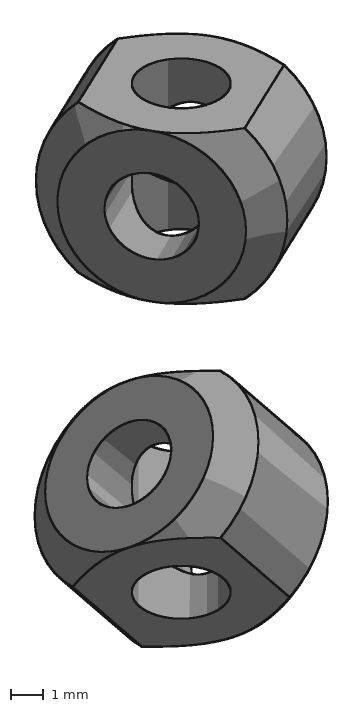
import cadquery as cq

body_diameter = 8.0
body_length = 6.0
flat_spacing = 6.0
chamfer_size = 1.0
hole_diameter = 3.0


def make_body():
    """Cylinder along Y, chamfered at both ends and cut by two flats."""
    cylinder = (
        cq.Workplane("XZ")
        .circle(body_diameter / 2)
        .extrude(body_length / 2, both=True)
        .faces("<Y or >Y")
        .chamfer(chamfer_size)
    )
    flats_envelope = cq.Workplane("XY").box(body_diameter, body_length, flat_spacing)
    return cylinder.intersect(flats_envelope)


def through_hole(plane, length):
    """Cutter for a hole centred on the origin, normal to the given plane."""
    return cq.Workplane(plane).circle(hole_diameter / 2).extrude(length / 2, both=True)


axial_hole = through_hole("XZ", body_length)
cross_hole = through_hole("XY", flat_spacing)

result = make_body().cut(axial_hole).cut(cross_hole)